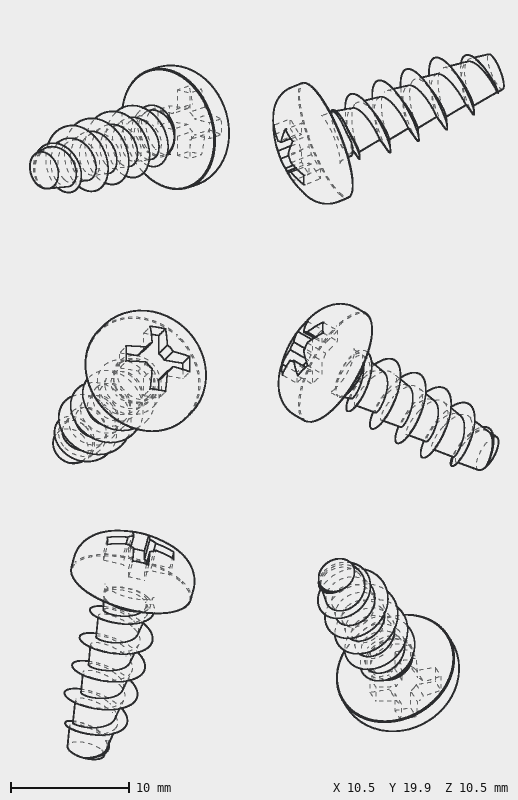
import cadquery as cq
import math


HEAD_RADIUS = 5.25
HEAD_RIM_HEIGHT = 1.08
HEAD_SHOULDER_ROUND = 2.2
DOME_RADIUS = 8.5
DOME_APEX = 4.05
DOME_EDGE_RADIUS = 4.2
BEARING_EDGE_CHAMFER = 0.08

RECESS_SLOT_WIDTH = 1.4
RECESS_HALF_SPAN = 2.9
RECESS_CORE_RADIUS = 1.4
RECESS_FLOOR = 2.0

SHANK_LENGTH = 16.0
NECK_RADIUS = 2.06
NECK_FILLET = 0.78
NECK_LENGTH = 1.5
TIP_RADIUS = 1.62
TIP_DISH_RADIUS = 1.48
TIP_DISH_DEPTH = 0.1

PITCH = 2.68
TURN_ZERO_Y = -1.19
CREST_RADIUS = 3.03
ROOT_RADIUS = 1.99
FOOT_RADIUS = 1.69
HEAD_FLANK_SLOPE = math.tan(math.radians(17))
TIP_FLANK_SLOPE = math.tan(math.radians(19.5))
FIRST_TURN = -0.8
TURN_COUNT = 7
SAMPLES_PER_TURN = 24
RUN_OUT_START = 4.0
RUN_OUT_END = 5.5
LAST_TURN = FIRST_TURN + TURN_COUNT

HIDDEN_RADIUS = NECK_RADIUS - 0.03
CREST_STEPS = [
    (FIRST_TURN, HIDDEN_RADIUS),
    (-0.25, HIDDEN_RADIUS),
    (0.0, 2.38),
    (1.2, CREST_RADIUS),
    (RUN_OUT_START, CREST_RADIUS),
    (RUN_OUT_END, TIP_RADIUS),
    (LAST_TURN, 1.4),
]
ROOT_STEPS = [
    (FIRST_TURN, HIDDEN_RADIUS - 0.01),
    (0.0, HIDDEN_RADIUS - 0.01),
    (0.75, ROOT_RADIUS),
    (4.5, ROOT_RADIUS),
    (RUN_OUT_END, TIP_RADIUS - 0.01),
    (LAST_TURN, 1.38),
]
FOOT_STEPS = [
    (FIRST_TURN, FOOT_RADIUS),
    (5.25, FOOT_RADIUS),
    (LAST_TURN + 1, 1.0),
]
RUN_IN_Y_STEPS = [
    (FIRST_TURN, -0.9),
    (-0.25, -1.43),
    (0.0, -1.45),
]


def interpolate(steps, turn):
    """Value at a turn, on straight lines between the listed steps."""
    for (turn_a, value_a), (turn_b, value_b) in zip(steps, steps[1:]):
        if turn <= turn_b:
            return value_a + (value_b - value_a) * (turn - turn_a) / (turn_b - turn_a)
    return steps[-1][1]


def crest_height(turn):
    """Y of the crest: a helix that levels out where it meets the neck."""
    return min(interpolate(RUN_IN_Y_STEPS, turn), TURN_ZERO_Y - PITCH * turn)


def place(radius, y, turn):
    """Point at a radius and height on the half plane of the given turn."""
    angle = 2 * math.pi * turn
    return cq.Vector(-radius * math.sin(angle), y, radius * math.cos(angle))


def foot_point(turn):
    """Lower end of the head-side flank, where the groove above it ends."""
    foot = interpolate(FOOT_STEPS, turn)
    rise = (interpolate(CREST_STEPS, turn) - foot) * HEAD_FLANK_SLOPE
    return place(foot, crest_height(turn) + rise, turn)


def crest_point(turn):
    return place(interpolate(CREST_STEPS, turn), crest_height(turn), turn)


def root_point(turn):
    """Lower end of the tip-side flank, where the next groove begins."""
    root = interpolate(ROOT_STEPS, turn)
    drop = (interpolate(CREST_STEPS, turn) - root) * TIP_FLANK_SLOPE
    return place(root, crest_height(turn) - drop, turn)


def axis_point(point):
    return cq.Vector(0, point.y, 0)


def rail(point_at, index):
    """Spline through one whole turn of a thread line."""
    start = FIRST_TURN + index
    steps = range(SAMPLES_PER_TURN + 1)
    return cq.Edge.makeSpline([point_at(start + i / SAMPLES_PER_TURN) for i in steps])


def make_head():
    """Domed head with a rounded shoulder and a broken bearing edge."""
    dome_center_y = DOME_APEX - DOME_RADIUS
    dome_edge_y = dome_center_y + math.sqrt(DOME_RADIUS**2 - DOME_EDGE_RADIUS**2)
    return (
        cq.Workplane("XY")
        .lineTo(HEAD_RADIUS - BEARING_EDGE_CHAMFER, 0)
        .lineTo(HEAD_RADIUS, BEARING_EDGE_CHAMFER)
        .lineTo(HEAD_RADIUS, HEAD_RIM_HEIGHT)
        .radiusArc((DOME_EDGE_RADIUS, dome_edge_y), -HEAD_SHOULDER_ROUND)
        .radiusArc((0, DOME_APEX), -DOME_RADIUS)
        .close()
        .revolve(360, (0, 0), (0, 1))
    )


def make_recess():
    """Two crossed slots and a round core, open at the dome."""
    depth = DOME_APEX - RECESS_FLOOR
    span = 2 * RECESS_HALF_SPAN
    slot = cq.Workplane("XY").box(span, depth, RECESS_SLOT_WIDTH)
    cross = slot.union(slot.rotate((0, 0, 0), (0, 1, 0), 90))
    core = cq.Workplane("XZ").circle(RECESS_CORE_RADIUS).extrude(depth / 2, both=True)
    return cross.union(core).translate((0, RECESS_FLOOR + depth / 2, 0))


def make_neck():
    """Plain neck that flares into the bearing face."""
    return (
        cq.Workplane("XY")
        .lineTo(NECK_RADIUS + NECK_FILLET, 0)
        .radiusArc((NECK_RADIUS, -NECK_FILLET), -NECK_FILLET)
        .lineTo(NECK_RADIUS, -NECK_LENGTH)
        .lineTo(0, -NECK_LENGTH)
        .close()
        .revolve(360, (0, 0), (0, 1))
    )


def make_threaded_shank():
    """Solid bounded by the flanks and sloping groove floors, ending at the tip plane."""
    feet = [rail(foot_point, i) for i in range(TURN_COUNT + 1)]
    crests = [rail(crest_point, i) for i in range(TURN_COUNT)]
    roots = [rail(root_point, i) for i in range(TURN_COUNT)]
    ruled = cq.Face.makeRuledSurface
    faces = []
    for i in range(TURN_COUNT):
        faces += [ruled(feet[i], crests[i]), ruled(crests[i], roots[i]), ruled(roots[i], feet[i + 1])]
    for end_feet, turn in ((feet[0], FIRST_TURN), (feet[-1], LAST_TURN)):
        upper_foot = foot_point(turn)
        lower_foot = foot_point(turn + 1)
        upper_axis = axis_point(upper_foot)
        lower_axis = axis_point(lower_foot)
        faces.append(ruled(end_feet, cq.Edge.makeLine(upper_axis, lower_axis)))
        step = [upper_axis, upper_foot, crest_point(turn), root_point(turn), lower_foot, lower_axis]
        faces.append(cq.Face.makeFromWires(cq.Wire.makePolygon(step, close=True)))
    solid = cq.Solid.makeSolid(cq.Shell.makeShell(faces)).fix()
    tip_plane = cq.Workplane("XZ", origin=(0, -SHANK_LENGTH, 0))
    past_tip = tip_plane.circle(HEAD_RADIUS).extrude(3 * PITCH)
    return cq.Workplane(obj=solid).cut(past_tip, clean=False)


def make_tip_dish():
    """Shallow cone sunk into the end face of the tip."""
    return (
        cq.Workplane("XY")
        .moveTo(0, -SHANK_LENGTH)
        .lineTo(TIP_DISH_RADIUS, -SHANK_LENGTH)
        .lineTo(0, TIP_DISH_DEPTH - SHANK_LENGTH)
        .close()
        .revolve(360, (0, 0, 0), (0, 1, 0))
    )


head = make_head().cut(make_recess())
shank = make_threaded_shank().cut(make_tip_dish(), clean=False)
screw = head.union(make_neck()).union(shank, clean=False)
result = cq.Workplane(obj=screw.solids().val())